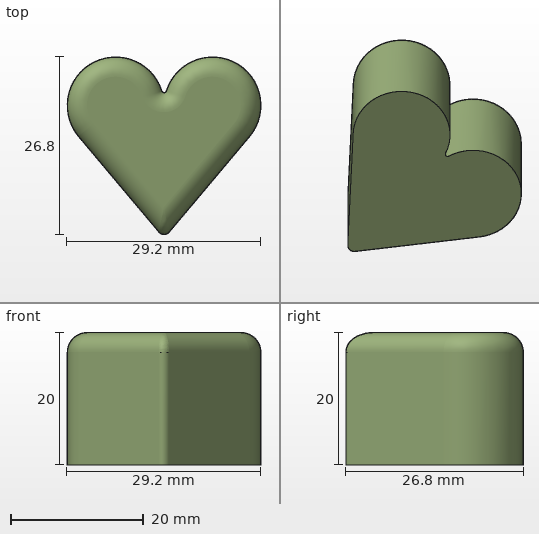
import cadquery as cq
import math

width = 29.2
length = 26.8
height = 20.0
top_round = 3.0
tip_round = 1.0
notch_round = 0.35

lobe_radius = width / 4

tip_center_y = lobe_radius - length + tip_round
center_distance = math.hypot(lobe_radius, tip_center_y)
flank_angle = math.atan2(-tip_center_y, lobe_radius) - math.asin(
    (lobe_radius - tip_round) / center_distance
)
normal_x = math.sin(flank_angle)
normal_y = -math.cos(flank_angle)
flank_x = lobe_radius * (1 + normal_x)
flank_y = lobe_radius * normal_y
sharp_tip_y = tip_center_y - tip_round / math.cos(flank_angle)

notch_center_y = math.sqrt((lobe_radius + notch_round) ** 2 - lobe_radius**2)
notch_share = notch_round / (lobe_radius + notch_round)
notch_x = lobe_radius * notch_share
notch_y = notch_center_y * (1 - notch_share)
notch_bottom_y = notch_center_y - notch_round


def heart_block():
    """Extrude the heart outline with a tip that is still sharp."""
    return (
        cq.Workplane("XY")
        .moveTo(0, sharp_tip_y)
        .lineTo(flank_x, flank_y)
        .threePointArc((lobe_radius, lobe_radius), (notch_x, notch_y))
        .threePointArc((0, notch_bottom_y), (-notch_x, notch_y))
        .threePointArc((-lobe_radius, lobe_radius), (-flank_x, flank_y))
        .close()
        .extrude(height)
    )


def round_tip(body):
    """Round the vertical tip edge together with the mitred ridge above it."""
    tip_edge = cq.selectors.NearestToPointSelector((0, sharp_tip_y, (height - top_round) / 2))
    return body.edges(tip_edge).fillet(tip_round)


rounded_top = heart_block().faces(">Z").edges().fillet(top_round)
result = round_tip(rounded_top)